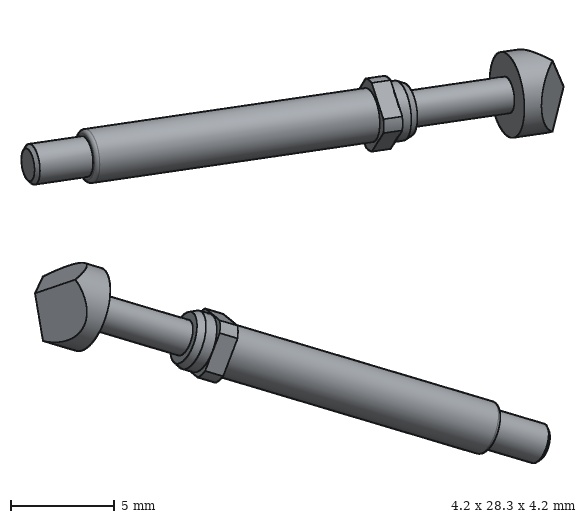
import cadquery as cq
import math


barrel_diameter = 2.65
barrel_length = 15.0
barrel_end_radius = 0.2
tail_diameter = 2.0
tail_length = 3.0
tail_chamfer = 0.2

flange_across_flats = 3.0
flange_corner_diameter = 3.6
flange_thickness = 1.0
collar_diameter = 2.95
collar_straight_length = 0.6
collar_front_diameter = 2.6
collar_taper_length = 0.4

plunger_diameter = 1.8
plunger_exposed_length = 5.3
head_diameter = 4.2
head_length = 3.0
tip_face_count = 3
tip_face_slope = 45.0

barrel_end = -barrel_length
tail_end = barrel_end - tail_length
collar_start = flange_thickness
taper_start = collar_start + collar_straight_length
collar_end = taper_start + collar_taper_length
head_start = collar_end + plunger_exposed_length
apex = head_start + head_length


def plane_at(y):
    """Plane across the probe axis at y, facing +Y, with local x along X."""
    return cq.Plane(origin=(0, y, 0), xDir=(1, 0, 0), normal=(0, 1, 0))


def cylinder(diameter, start, end):
    return cq.Workplane(plane_at(start)).circle(diameter / 2).extrude(end - start)


def make_barrel():
    return cylinder(barrel_diameter, barrel_end, 0).faces("<Y").edges().fillet(barrel_end_radius)


def make_tail():
    return cylinder(tail_diameter, tail_end, barrel_end).faces("<Y").edges().chamfer(tail_chamfer)


def make_flange():
    square = (
        cq.Workplane(plane_at(0))
        .transformed(rotate=(0, 0, 45))
        .rect(flange_across_flats, flange_across_flats)
        .extrude(flange_thickness)
    )
    return square.intersect(cylinder(flange_corner_diameter, 0, flange_thickness))


def make_collar():
    """Straight collar that tapers at its front."""
    profile = [
        (0, collar_start),
        (collar_diameter / 2, collar_start),
        (collar_diameter / 2, taper_start),
        (collar_front_diameter / 2, collar_end),
        (0, collar_end),
    ]
    return cq.Workplane("XY").polyline(profile).close().revolve(360, (0, 0, 0), (0, 1, 0))


def make_head():
    """Round head cut to a pyramid; the first tip face leans toward +X."""
    head = cylinder(head_diameter, head_start, apex)
    reach = head_diameter
    drop = reach / math.tan(math.radians(tip_face_slope))
    waste = (
        cq.Workplane("XY")
        .polyline([(-reach, apex + drop), (reach, apex + drop), (reach, apex - drop)])
        .close()
        .extrude(reach, both=True)
    )
    for index in range(tip_face_count):
        angle = index * 360 / tip_face_count
        head = head.cut(waste.rotate((0, 0, 0), (0, 1, 0), angle))
    return head


result = (
    make_flange()
    .union(make_barrel())
    .union(make_tail())
    .union(make_collar())
    .union(cylinder(plunger_diameter, collar_end, head_start))
    .union(make_head())
)